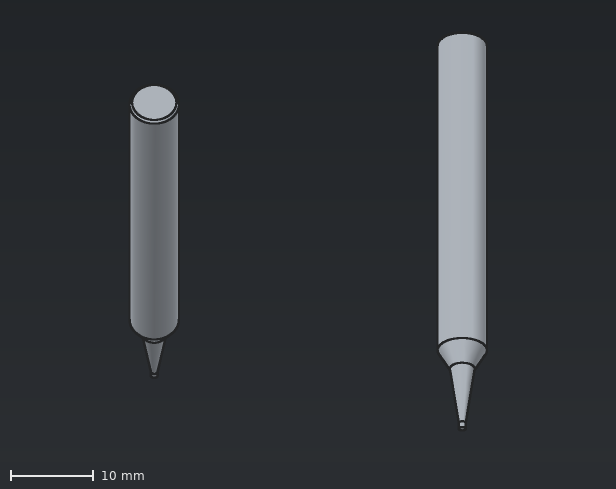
import cadquery as cq

total_length = 54.0
shank_radius = 6.0 / 2
shank_chamfer = 0.3

shoulder_top = 10.95
shoulder_bottom = 8.35
tip_top = 0.8

neck_radius = 1.5
tip_radius = 0.45


def make_shank():
    """Chamfered round shank with a conical shoulder and a slender tapered neck."""
    half_profile = [
        (0, tip_top),
        (tip_radius, tip_top),
        (neck_radius, shoulder_bottom),
        (shank_radius, shoulder_top),
        (shank_radius, total_length - shank_chamfer),
        (shank_radius - shank_chamfer, total_length),
        (0, total_length),
    ]
    return cq.Workplane("XZ").polyline(half_profile).close().revolve(360, (0, 0), (0, 1))


def make_tip():
    """Short round tip that carries on from the small end of the neck."""
    return cq.Workplane("XY").circle(tip_radius).extrude(tip_top)


shank = make_shank()
tip = make_tip()

result = cq.Compound.makeCompound([shank.val(), tip.val()])